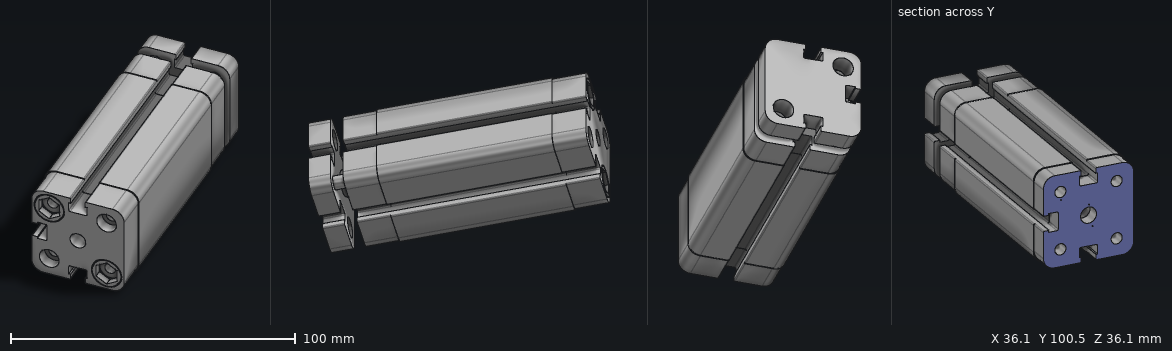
import cadquery as cq
import math


cap_length = 12.25
tube_length = 63.5
rod_gap = 4.5
plate_thickness = 8.0
rear_cap_start = cap_length + tube_length
body_length = rear_cap_start + cap_length
plate_start = body_length + rod_gap
overall_length = plate_start + plate_thickness

tube_width = 36.1
cap_width = 35.5
corner_radius = 4.5

slot_neck_width = 5.6
slot_inner_width = 7.0
slot_neck_height = 15.5
cap_slot_floor = 11.9
tube_slot_floor = 11.8
slot_floor_radius = 0.5
slot_lip_radius = 0.4
slot_angles = (0, 90, 180)

bore_offset = 11.0
center_bore_diameter = 6.0
center_bore_depth = 10.0
thread_diameter = 4.13
mount_bore_diameter = 7.5
mount_bore_depth = 4.5
mount_thread_depth = 15.0

screw_seat_diameter = 11.6
screw_head_diameter = 11.0
screw_gap_depth = 1.0
socket_across_flats = 8.0
socket_depth = 2.9
socket_bore_diameter = 8.0
socket_turn = 30
socket_bore_depth = 3.2

piston_rod_diameter = 10.0
piston_rod_end_radius = 1.2
rod_flats_width = 8.0
rod_flats_length = 3.2
guide_rod_diameter = 5.0
guide_rod_offset = 12.0
plate_hole_diameter = 7.5


def at_depth(depth):
    """Sketch plane across the axis, with local x along X and local y along Z."""
    return cq.Workplane(cq.Plane(origin=(0, depth, 0), xDir=(1, 0, 0), normal=(0, -1, 0)))


def cylinder(x, z, diameter, start, length):
    return at_depth(start).center(x, z).circle(diameter / 2).extrude(-length)


def rounded_block(width, start, length):
    block = at_depth(start).rect(width, width).extrude(-length)
    return block.edges("|Y").fillet(corner_radius)


def slot_cutter(width, floor_height, start, length, angle):
    """T-shaped slot with rounded lips, for a block of the given width."""
    surface = width / 2
    neck = slot_neck_width / 2
    inner = slot_inner_width / 2
    mouth = neck + slot_lip_radius
    lip_start = surface - slot_lip_radius
    arc_rise = slot_lip_radius * math.sin(math.pi / 4)
    arc_run = slot_lip_radius - arc_rise
    cutter = (
        at_depth(start)
        .moveTo(-inner, floor_height)
        .lineTo(inner, floor_height)
        .lineTo(inner, slot_neck_height)
        .lineTo(neck, slot_neck_height)
        .lineTo(neck, lip_start)
        .threePointArc((neck + arc_run, lip_start + arc_rise), (mouth, surface))
        .lineTo(-mouth, surface)
        .threePointArc((-neck - arc_run, lip_start + arc_rise), (-neck, lip_start))
        .lineTo(-neck, slot_neck_height)
        .lineTo(-inner, slot_neck_height)
        .close()
        .extrude(-length)
    )
    cutter = cutter.edges("|Y and <Z").fillet(slot_floor_radius)
    return cutter.rotate((0, 0, 0), (0, 1, 0), -angle)


def slotted_block(width, floor_height, start, length):
    block = rounded_block(width, start, length)
    for angle in slot_angles:
        block = block.cut(slot_cutter(width, floor_height, start, length, angle))
    return block


def piston_rod():
    """Round rod with a rounded end and two wrench flats that run out at 45 degrees."""
    rod = cylinder(0, 0, piston_rod_diameter, rear_cap_start, plate_start - rear_cap_start)
    rod = rod.faces(">Y").edges().fillet(piston_rod_end_radius)
    flat = rod_flats_width / 2
    run_out = piston_rod_diameter / 2 - flat
    flats_start = plate_start - rod_flats_length
    for side in (1, -1):
        cutter = (
            cq.Workplane("XY")
            .polyline([
                (side * flat, plate_start),
                (side * flat, flats_start),
                (side * (flat + run_out), flats_start - run_out),
                (side * (flat + run_out), plate_start),
            ])
            .close()
            .extrude(piston_rod_diameter / 2, both=True)
        )
        rod = rod.cut(cutter)
    return rod


def screw_cuts(x, z):
    """Ring gap around the screw head, hex socket, socket bore and through thread."""
    gap = cylinder(x, z, screw_seat_diameter, 0, screw_gap_depth)
    gap = gap.cut(cylinder(x, z, screw_head_diameter, 0, screw_gap_depth))
    across_corners = socket_across_flats / math.cos(math.pi / 6)
    socket = at_depth(0).polygon(6, across_corners).extrude(-socket_depth)
    socket = socket.rotate((0, 0, 0), (0, 1, 0), socket_turn).translate((x, 0, z))
    bore = cylinder(x, z, socket_bore_diameter, 0, socket_bore_depth)
    thread = cylinder(x, z, thread_diameter, 0, body_length)
    return gap.union(socket).union(bore).union(thread)


def mount_bore(x, z):
    thread = cylinder(x, z, thread_diameter, 0, mount_thread_depth)
    return cylinder(x, z, mount_bore_diameter, 0, mount_bore_depth).union(thread)


body = slotted_block(tube_width, tube_slot_floor, cap_length, tube_length)
body = body.union(slotted_block(cap_width, cap_slot_floor, 0, cap_length))
body = body.union(slotted_block(cap_width, cap_slot_floor, rear_cap_start, cap_length))
body = body.cut(cylinder(0, 0, center_bore_diameter, 0, center_bore_depth))

plate = slotted_block(cap_width, cap_slot_floor, plate_start, plate_thickness)
result = body.union(plate).union(piston_rod())

guide_rod_length = overall_length - rear_cap_start
for side in (1, -1):
    rod_place = side * guide_rod_offset
    result = result.union(
        cylinder(rod_place, rod_place, guide_rod_diameter, rear_cap_start, guide_rod_length)
    )
    bore_place = side * bore_offset
    result = result.cut(mount_bore(bore_place, bore_place))
    result = result.cut(screw_cuts(bore_place, -bore_place))
    result = result.cut(
        cylinder(bore_place, -bore_place, plate_hole_diameter, plate_start, plate_thickness)
    )